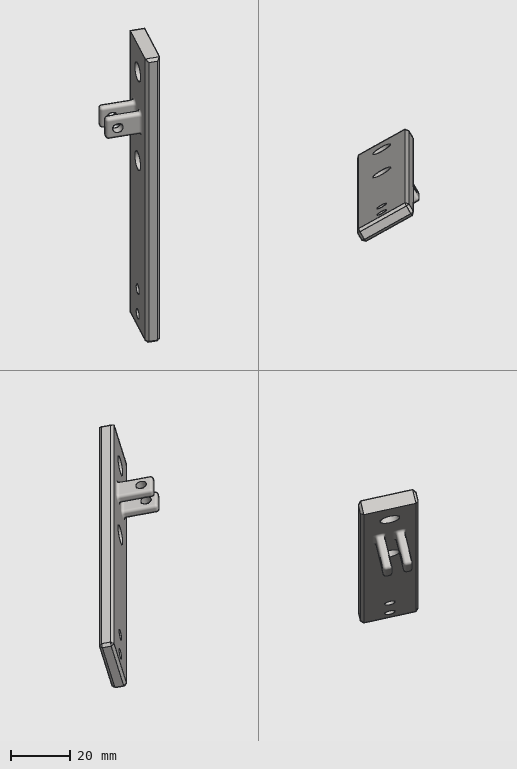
import cadquery as cq

plate_width = 20.0
plate_thickness = 5.1
plate_height = 115.0
edge_size = 1.0

overall_depth = 17.5
lug_length = overall_depth - plate_thickness
lug_thickness = 3.0
lug_height = 8.0
lug_spacing = 7.0
lug_z = 86.0
pin_diameter = 3.6
pin_from_tip = 4.0

large_hole_diameter = 6.8
large_hole_spacing = 36.0
small_hole_diameter = 3.6
small_hole_heights = (6.0, 16.0)


def make_plate():
    """Plate chamfered on every edge except the front and back edges of its top."""
    block = cq.Workplane("XY").box(
        plate_width, plate_thickness, plate_height, centered=(True, False, False)
    )
    side_and_bottom_edges = block.faces("<X or >X or <Z").edges()
    return side_and_bottom_edges.chamfer(edge_size)


def make_lug(x):
    """Lug with all edges rounded except where it meets the plate at Y = 0."""
    lug = (
        cq.Workplane("XY")
        .box(lug_thickness, lug_length, lug_height)
        .translate((x, -lug_length / 2, lug_z))
    )
    return lug.edges("not(>Y)").fillet(edge_size)


def hole_along_y(diameter, z):
    """Cutter through the plate thickness on the centre line."""
    return (
        cq.Workplane("XZ")
        .center(0, z)
        .circle(diameter / 2)
        .extrude(-plate_thickness)
    )


result = make_plate()
for side in (-1, 1):
    result = result.union(make_lug(side * lug_spacing / 2))

root_box = cq.selectors.BoxSelector(
    (-plate_width / 3, -edge_size / 4, lug_z - lug_height),
    (plate_width / 3, edge_size / 4, lug_z + lug_height),
)
result = result.edges(root_box).fillet(edge_size)

for side in (-1, 1):
    result = result.cut(hole_along_y(large_hole_diameter, lug_z + side * large_hole_spacing / 2))
for height in small_hole_heights:
    result = result.cut(hole_along_y(small_hole_diameter, height))

pin_hole = (
    cq.Workplane("YZ")
    .center(pin_from_tip - lug_length, lug_z)
    .circle(pin_diameter / 2)
    .extrude(plate_width / 2, both=True)
)
result = result.cut(pin_hole)